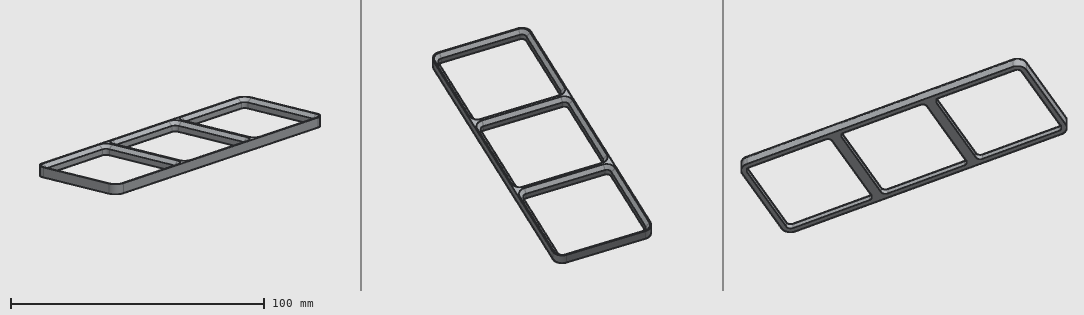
import cadquery as cq

cell_count = 3
frame_length = 126.0
cell_pitch = frame_length / cell_count
frame_height = 4.2
corner_radius = 4.0

land_half_width = 0.5
chamfer_size = 1.6
wall_half_width = land_half_width + chamfer_size
chamfer_angle = 45


def rounded_prism(width, length, radius, height):
    """Upright prism on Z = 0 with rounded vertical edges."""
    return (
        cq.Workplane("XY")
        .rect(width, length)
        .extrude(height)
        .edges("|Z")
        .fillet(radius)
    )


def cell_opening():
    """Through opening with a 45 degree chamfer around its top rim."""
    opening_width = cell_pitch - 2 * wall_half_width
    opening_radius = corner_radius - wall_half_width
    mouth_width = cell_pitch - 2 * land_half_width
    mouth_radius = corner_radius - land_half_width

    shaft = rounded_prism(opening_width, opening_width, opening_radius, frame_height)
    mouth_outline = cq.Sketch().rect(mouth_width, mouth_width).vertices().fillet(mouth_radius)
    flare = (
        cq.Workplane("XY", origin=(0, 0, frame_height))
        .placeSketch(mouth_outline)
        .extrude(-chamfer_size, taper=chamfer_angle)
    )
    return shaft.union(flare)


result = rounded_prism(cell_pitch, frame_length, corner_radius, frame_height)
opening = cell_opening()
for cell_index in range(cell_count):
    cell_center_y = (cell_index - (cell_count - 1) / 2) * cell_pitch
    result = result.cut(opening.translate((0, cell_center_y, 0)))